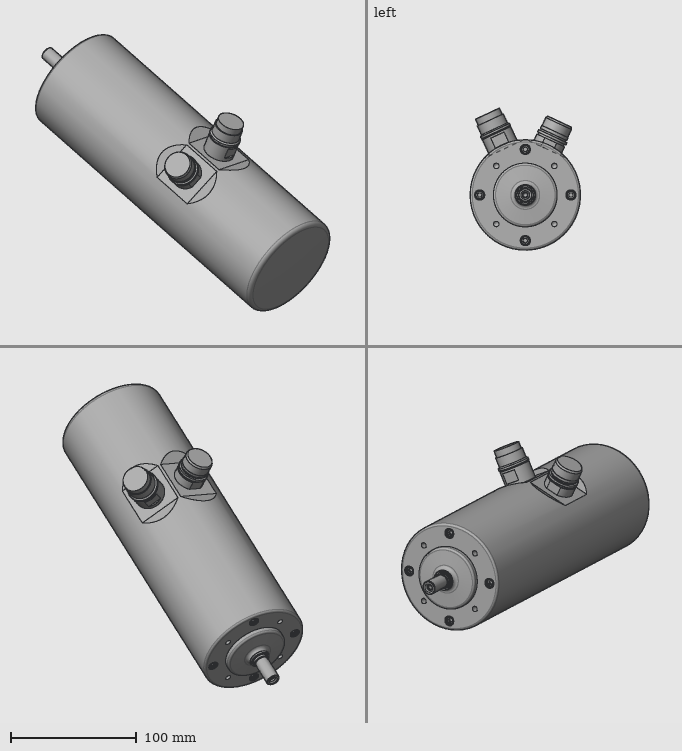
import cadquery as cq
import math

overall_length = 290.0
shaft_diameter = 11.0
shaft_chamfer = 0.5
shaft_groove_start = 21.0
shaft_groove_width = 1.0
shaft_groove_diameter = 10.5

collar_start = 23.0
collar_diameter = 16.0
collar_chamfer = 0.44
collar_bore_diameter = 13.0
collar_bore_depth = 1.0

neck_start = 25.0
neck_diameter = 16.5
neck_foot_diameter = 23.0

pilot_start = 29.3
pilot_diameter = 50.8
pilot_fillet = 1.7

housing_start = 34.2
housing_diameter = 88.0
front_fillet = 1.7
rear_fillet = 3.5
rear_cone_height = 1.0

tapped_hole_diameter = 4.4
tapped_hole_circle = 65.2
tapped_hole_depth = 8.7

drill_tip_angle = 118.0

screw_circle = 72.5
screw_recess_diameter = 7.0
screw_floor_diameter = 5.8
screw_recess_rim = 8.0
screw_recess_depth = 1.5
screw_floor_depth = 2.3
screw_socket_diameter = 3.5
screw_socket_depth = 1.7

centre_hole_diameter = 3.5
centre_bore_diameter = 4.5
centre_bore_depth = 3.0
centre_hole_rim = 7.0
centre_hole_depth = 8.7

connector_x = 185.0
connector_tilt = 25.0
seat_height = 40.3
seat_length = 35.7
seat_ramp_angle = 20.0
seat_cutter_margin = 3.0
connector_flat_width = 22.0

tall_base_diameter = 25.0
tall_base_top = 54.2
tall_groove_diameter = 23.2
tall_ring_diameter = 25.5
tall_ring_start = 55.0
tall_ring_end = 56.8
tall_ring_taper_end = 58.0
tall_barrel_diameter = 23.0
tall_barrel_end = 65.8
tall_cap_diameter = 21.2
tall_top = 71.3
tall_flat_start = 43.5
tall_flat_end = 52.5

short_base_diameter = 24.5
short_base_top = 47.8
short_neck_diameter = 22.3
short_ring_diameter = 25.0
short_ring_start = 49.5
short_ring_end = 51.5
short_groove_diameter = 21.5
short_groove_end = 53.0
short_collar_diameter = 23.2
short_collar_end = 55.7
short_barrel_diameter = 22.5
short_barrel_end = 62.5
short_cap_diameter = 21.0
short_top = 64.5


def motor_blank():
    """Shaft, collar, pilot and housing, turned about the X axis."""
    shaft_r = shaft_diameter / 2
    groove_r = shaft_groove_diameter / 2
    groove_end = shaft_groove_start + shaft_groove_width
    collar_r = collar_diameter / 2
    bore_r = collar_bore_diameter / 2
    bore_floor = collar_start + collar_bore_depth
    pilot_r = pilot_diameter / 2
    housing_r = housing_diameter / 2
    rear_edge = overall_length - rear_cone_height
    neck_r = neck_diameter / 2
    neck_fillet = neck_foot_diameter / 2 - neck_r
    arc_mid = 1 - math.sqrt(0.5)
    return (
        cq.Workplane("XY")
        .moveTo(0, 0)
        .lineTo(0, shaft_r - shaft_chamfer)
        .lineTo(shaft_chamfer, shaft_r)
        .lineTo(shaft_groove_start, shaft_r)
        .lineTo(shaft_groove_start, groove_r)
        .lineTo(groove_end, groove_r)
        .lineTo(groove_end, shaft_r)
        .lineTo(bore_floor, shaft_r)
        .lineTo(bore_floor, bore_r)
        .lineTo(collar_start, bore_r)
        .lineTo(collar_start, collar_r - collar_chamfer)
        .lineTo(collar_start + collar_chamfer, collar_r)
        .lineTo(neck_start, collar_r)
        .lineTo(neck_start, neck_r)
        .threePointArc(
            (neck_start + (1 - arc_mid) * neck_fillet, neck_r + arc_mid * neck_fillet),
            (neck_start + neck_fillet, neck_r + neck_fillet),
        )
        .lineTo(pilot_start, pilot_r - pilot_fillet)
        .threePointArc(
            (pilot_start + arc_mid * pilot_fillet, pilot_r - arc_mid * pilot_fillet),
            (pilot_start + pilot_fillet, pilot_r),
        )
        .lineTo(housing_start, pilot_r)
        .lineTo(housing_start, housing_r - front_fillet)
        .threePointArc(
            (housing_start + arc_mid * front_fillet, housing_r - arc_mid * front_fillet),
            (housing_start + front_fillet, housing_r),
        )
        .lineTo(rear_edge - rear_fillet, housing_r)
        .threePointArc(
            (rear_edge - arc_mid * rear_fillet, housing_r - arc_mid * rear_fillet),
            (rear_edge, housing_r - rear_fillet),
        )
        .lineTo(overall_length, 0)
        .close()
        .revolve(360, (0, 0, 0), (1, 0, 0))
    )


def axial_hole(start, profile):
    """Round cutter about the X axis; profile lists (depth from X = start, radius)."""
    outline = [(start, 0)] + [(start + depth, radius) for depth, radius in profile]
    if profile[-1][1] > 0:
        outline.append((start + profile[-1][0], 0))
    return cq.Workplane("XY").polyline(outline).close().revolve(360, (0, 0, 0), (1, 0, 0))


def drill_tip(depth, radius):
    """Apex of the conical end of a drilled hole."""
    return (depth + radius / math.tan(math.radians(drill_tip_angle / 2)), 0)


def ring_of_four(cutter, circle_diameter, first_angle):
    """The cutter repeated at four places on a circle about the X axis."""
    moved = cutter.translate((0, 0, circle_diameter / 2))
    return [moved.rotate((0, 0, 0), (1, 0, 0), first_angle + 90 * i) for i in range(4)]


def tapped_holes():
    radius = tapped_hole_diameter / 2
    tip = drill_tip(tapped_hole_depth, radius)
    hole = axial_hole(housing_start, [(0, radius), (tapped_hole_depth, radius), tip])
    return ring_of_four(hole, tapped_hole_circle, 45)


def screw_recesses():
    """Bevelled round recesses, each with a smaller socket in its floor."""
    rim_r = screw_recess_rim / 2
    recess_r = screw_recess_diameter / 2
    floor_r = screw_floor_diameter / 2
    socket_r = screw_socket_diameter / 2
    recess = axial_hole(
        housing_start,
        [
            (0, rim_r),
            (rim_r - recess_r, recess_r),
            (screw_recess_depth, recess_r),
            (screw_recess_depth, floor_r),
            (screw_floor_depth, floor_r),
            (screw_floor_depth, socket_r),
            (screw_floor_depth + screw_socket_depth, socket_r),
        ],
    )
    return ring_of_four(recess, screw_circle, 0)


def shaft_centre_hole():
    rim_r = centre_hole_rim / 2
    bore_r = centre_bore_diameter / 2
    hole_r = centre_hole_diameter / 2
    return axial_hole(
        0,
        [
            (0, rim_r),
            (rim_r - bore_r, bore_r),
            (centre_bore_depth, bore_r),
            (centre_bore_depth, hole_r),
            (centre_hole_depth, hole_r),
            drill_tip(centre_hole_depth, hole_r),
        ],
    )


def tilt_into_place(shape, angle):
    """Lean an upright shape about the motor axis and move it to the connector station."""
    return shape.rotate((0, 0, 0), (1, 0, 0), angle).translate((connector_x, 0, 0))


def connector_seat(angle):
    """Cutter for a flat with a ramp at each end."""
    half_length = seat_length / 2
    rise = housing_diameter / 2 + seat_cutter_margin - seat_height
    ramp = rise / math.tan(math.radians(seat_ramp_angle))
    cutter = (
        cq.Workplane("XZ")
        .moveTo(-half_length, seat_height)
        .lineTo(half_length, seat_height)
        .lineTo(half_length + ramp, seat_height + rise)
        .lineTo(-half_length - ramp, seat_height + rise)
        .close()
        .extrude(housing_diameter / 2, both=True)
    )
    return tilt_into_place(cutter, angle)


def make_motor():
    motor = motor_blank().cut(shaft_centre_hole())
    for cutter in tapped_holes() + screw_recesses():
        motor = motor.cut(cutter)
    for angle in (-connector_tilt, connector_tilt):
        motor = motor.cut(connector_seat(angle))
    return motor


def turned_upright(steps):
    """Solid about the Z axis from the seat up; steps lists (diameter, height)."""
    outline = [(0, seat_height)] + [(diameter / 2, height) for diameter, height in steps]
    outline.append((0, steps[-1][1]))
    return cq.Workplane("XZ").polyline(outline).close().revolve(360, (0, 0, 0), (0, 1, 0))


def cut_side_flats(connector, across, bottom, top):
    """Trim both X sides of a connector to the given width between two heights."""
    slab = cq.Workplane("XY").box(across, across * 2, top - bottom, centered=(True, True, False))
    stock = cq.Workplane("XY").box(across * 2, across * 2, top - bottom, centered=(True, True, False))
    return connector.cut(stock.cut(slab).translate((0, 0, bottom)))


def make_tall_connector():
    connector = turned_upright(
        [
            (tall_base_diameter, seat_height),
            (tall_base_diameter, tall_base_top),
            (tall_groove_diameter, tall_base_top),
            (tall_groove_diameter, tall_ring_start),
            (tall_ring_diameter, tall_ring_start),
            (tall_ring_diameter, tall_ring_end),
            (tall_barrel_diameter, tall_ring_taper_end),
            (tall_barrel_diameter, tall_barrel_end),
            (tall_cap_diameter, tall_barrel_end),
            (tall_cap_diameter, tall_top),
        ]
    )
    connector = cut_side_flats(connector, connector_flat_width, tall_flat_start, tall_flat_end)
    return tilt_into_place(connector, -connector_tilt)


def make_short_connector():
    connector = turned_upright(
        [
            (short_base_diameter, seat_height),
            (short_base_diameter, short_base_top),
            (short_neck_diameter, short_base_top),
            (short_neck_diameter, short_ring_start),
            (short_ring_diameter, short_ring_start),
            (short_ring_diameter, short_ring_end),
            (short_groove_diameter, short_ring_end),
            (short_groove_diameter, short_groove_end),
            (short_collar_diameter, short_groove_end),
            (short_collar_diameter, short_collar_end),
            (short_barrel_diameter, short_collar_end),
            (short_barrel_diameter, short_barrel_end),
            (short_cap_diameter, short_top),
        ]
    )
    connector = cut_side_flats(connector, connector_flat_width, seat_height, short_base_top)
    return tilt_into_place(connector, connector_tilt)


motor = make_motor()
tall_connector = make_tall_connector()
short_connector = make_short_connector()

result = cq.Compound.makeCompound([motor.val(), tall_connector.val(), short_connector.val()])